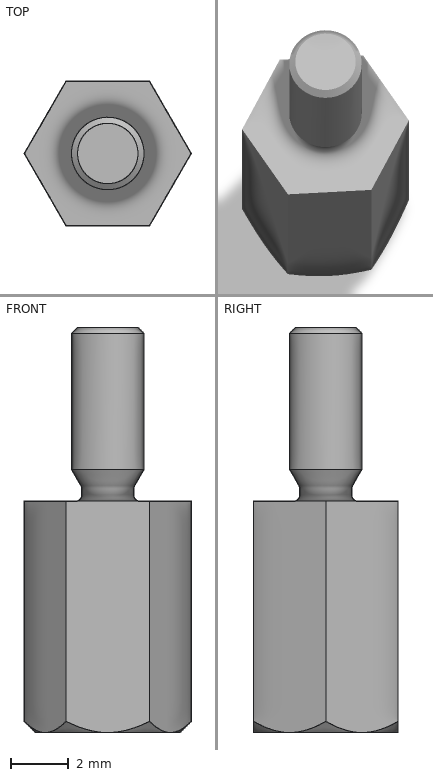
import cadquery as cq
import math

across_flats = 5.0
across_corners = across_flats / math.cos(math.radians(30))
corner_radius = across_corners / 2
total_height = 14.0
body_height = 8.0
corner_chamfer = corner_radius - across_flats / 2

stud_radius = 2.5 / 2
neck_radius = 1.8 / 2
tip_chamfer = 0.21
undercut_fillet = 0.21
neck_top = body_height + 0.43
flare_angle = math.radians(30)


def make_body():
    """Hexagonal prism whose lower corners are cut by a 45 degree cone."""
    prism = cq.Workplane("XY").polygon(6, across_corners).extrude(body_height)
    turned_blank = (
        cq.Workplane("XY")
        .circle(corner_radius)
        .extrude(body_height)
        .faces("<Z")
        .chamfer(corner_chamfer)
    )
    return prism.intersect(turned_blank)


def blend_point(angle):
    """Point (radius, height) on the arc from the neck to the flare, by turned angle."""
    radius = neck_radius + undercut_fillet * (1 - math.cos(angle))
    height = neck_top + undercut_fillet * math.sin(angle)
    return radius, height


def make_stud():
    """Turned stud: root fillet, neck, blended flare and chamfered tip."""
    root_sagitta = undercut_fillet * (1 - math.sqrt(0.5))
    flare_start_radius, flare_start_height = blend_point(flare_angle)
    flare_height = (stud_radius - flare_start_radius) / math.tan(flare_angle)
    return (
        cq.Workplane("XZ")
        .moveTo(0, body_height)
        .lineTo(neck_radius + undercut_fillet, body_height)
        .threePointArc(
            (neck_radius + root_sagitta, body_height + root_sagitta),
            (neck_radius, body_height + undercut_fillet),
        )
        .lineTo(neck_radius, neck_top)
        .threePointArc(blend_point(flare_angle / 2), (flare_start_radius, flare_start_height))
        .lineTo(stud_radius, flare_start_height + flare_height)
        .lineTo(stud_radius, total_height - tip_chamfer)
        .lineTo(stud_radius - tip_chamfer, total_height)
        .lineTo(0, total_height)
        .close()
        .revolve(360, (0, 0, 0), (0, 1, 0))
    )


result = make_body().union(make_stud())